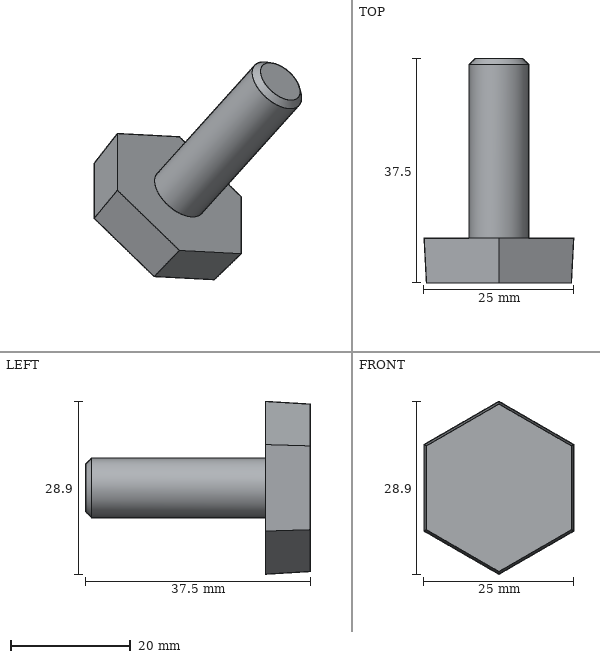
import cadquery as cq
import math

total_length = 37.5
head_height = 7.5
head_across_flats = 25.0
head_draft_angle = 3.0
shank_diameter = 10.0
tip_chamfer = 1.0

shank_length = total_length - head_height
head_across_corners = head_across_flats / math.cos(math.radians(30))


def make_head():
    """Hexagonal head with corners on Z, narrowing from the seat at Y = 0 towards -Y."""
    corner_radius = head_across_corners / 2
    corner_angles = [math.radians(90 + 60 * i) for i in range(6)]
    corners = [(corner_radius * math.cos(a), corner_radius * math.sin(a)) for a in corner_angles]
    return cq.Workplane("XZ").polyline(corners).close().extrude(head_height, taper=head_draft_angle)


def make_shank():
    """Plain round shank along +Y with a chamfered tip."""
    shank = cq.Workplane("XZ").circle(shank_diameter / 2).extrude(-shank_length)
    return shank.faces(">Y").chamfer(tip_chamfer)


result = make_head().union(make_shank())